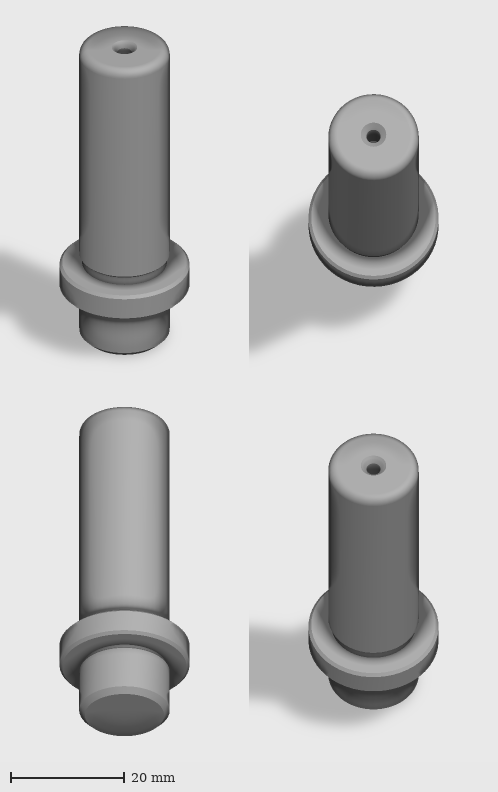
import cadquery as cq
import math

total_height = 60.0
shaft_diameter = 16.0
shaft_tip_fillet = 1.5
foot_chamfer = 1.0

collar_diameter = 23.0
collar_bottom = 10.0
collar_thickness = 5.0
collar_chamfer = 0.5
collar_top = collar_bottom + collar_thickness

relief_depth = 0.5
lower_relief_width = 1.0
upper_relief_width = 2.0

centre_mouth_diameter = 4.5
centre_pilot_diameter = 2.5
countersink_angle = 90.0
pilot_depth = 6.0
drill_point_angle = 120.0


def cone_height(large_diameter, small_diameter, included_angle):
    """Axial length of a cone between two diameters."""
    half_angle = math.radians(included_angle / 2)
    return (large_diameter - small_diameter) / 2 / math.tan(half_angle)


def make_shaft():
    """Plain shaft with a chamfered foot and a rounded tip."""
    shaft = cq.Workplane("XY").circle(shaft_diameter / 2).extrude(total_height)
    shaft = shaft.faces("<Z").chamfer(foot_chamfer)
    return shaft.faces(">Z").edges().fillet(shaft_tip_fillet)


def make_collar():
    """Collar disc with both rims chamfered."""
    disc = cq.Workplane("XY", origin=(0, 0, collar_bottom))
    disc = disc.circle(collar_diameter / 2).extrude(collar_thickness)
    return disc.edges().chamfer(collar_chamfer)


def make_relief(collar_face, direction, width):
    """Ring to cut from the shaft, square at the collar and sloped at 45 degrees at its far end."""
    surface_radius = shaft_diameter / 2
    neck_radius = surface_radius - relief_depth
    far_end = collar_face + direction * width
    neck_end = far_end - direction * relief_depth
    profile = (
        cq.Workplane("XZ")
        .moveTo(neck_radius, collar_face)
        .lineTo(neck_radius, neck_end)
        .lineTo(surface_radius, far_end)
        .lineTo(surface_radius, collar_face)
        .close()
    )
    return profile.revolve(360, (0, 0, 0), (0, 1, 0))


def make_centre_hole():
    """Countersunk centre hole with a conical drill point."""
    mouth_radius = centre_mouth_diameter / 2
    pilot_radius = centre_pilot_diameter / 2
    countersink_depth = cone_height(centre_mouth_diameter, centre_pilot_diameter, countersink_angle)
    pilot_top = total_height - countersink_depth
    pilot_bottom = pilot_top - pilot_depth
    point_tip = pilot_bottom - cone_height(centre_pilot_diameter, 0, drill_point_angle)
    profile = (
        cq.Workplane("XZ")
        .moveTo(0, total_height)
        .lineTo(mouth_radius, total_height)
        .lineTo(pilot_radius, pilot_top)
        .lineTo(pilot_radius, pilot_bottom)
        .lineTo(0, point_tip)
        .close()
    )
    return profile.revolve(360, (0, 0, 0), (0, 1, 0))


body = make_shaft()
body = body.cut(make_relief(collar_bottom, -1, lower_relief_width))
body = body.cut(make_relief(collar_top, 1, upper_relief_width))
body = body.union(make_collar())
result = body.cut(make_centre_hole())